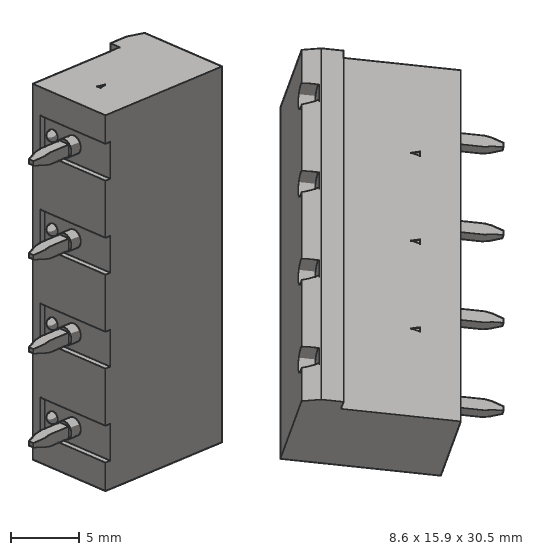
import cadquery as cq

pole_count = 4
pitch = 7.62
height = pole_count * pitch
body_width = 7.62
body_depth = 12.0

flange_reach = 0.98
flange_length = 3.05
bevel_width = 0.5
bevel_length = 1.37

notch_radius = 0.98
notch_depth = 1.25
notch_offset = 0.8

recess_height = 3.0
recess_depth = 0.5
recess_left = -3.02

dome_radius = 0.5
dome_x = -2.15

collar_diameter = 1.45
collar_reach = 0.5
shank_size = 0.98
pin_reach = 3.9
top_taper_start = 2.45
side_taper_start = 3.0
tip_width = 0.5
tip_height = 0.37

mark_start = 3.05
mark_length = 0.7
mark_width = 0.4
mark_depth = 0.12

body_left = -body_width / 2
flange_left = body_left - flange_reach
top = height / 2
pole_levels = [(i - (pole_count - 1) / 2) * pitch for i in range(pole_count)]
joint_levels = [z + pitch / 2 for z in pole_levels[:-1]]


def make_body():
    """Block with the bevelled flange, extruded over the whole stack."""
    ledge_y = body_depth - flange_length
    outline = [
        (body_left, 0),
        (-body_left, 0),
        (-body_left, body_depth),
        (flange_left + bevel_width, body_depth),
        (flange_left, body_depth - bevel_length),
        (flange_left, ledge_y),
        (body_left, ledge_y),
    ]
    return cq.Workplane("XY").polyline(outline).close().extrude(top, both=True)


def make_notch(z):
    """Blind round cutter sunk from the rear face."""
    rear = cq.Workplane("XZ", origin=(flange_left + notch_offset, body_depth, z))
    return rear.circle(notch_radius).extrude(notch_depth)


def make_recess(z):
    """Cutter for the front recess, from its left wall out to the +X face."""
    width = -body_left - recess_left
    corner = (recess_left, 0, z - recess_height / 2)
    return cq.Workplane("XY", origin=corner).box(width, recess_depth, recess_height, centered=False)


def make_dome(z):
    """Ball centred on the recess floor, so that half of it stands out."""
    return cq.Workplane("XY", origin=(dome_x, recess_depth, z)).sphere(dome_radius)


def taper_prism(plane, taper_start, tip_size):
    """Prism of the pin outline in one plane, from the recess floor to the tip."""
    half_shank = shank_size / 2
    half_tip = tip_size / 2
    points = [
        (-half_shank, recess_depth),
        (-half_shank, -taper_start),
        (-half_tip, -pin_reach),
        (half_tip, -pin_reach),
        (half_shank, -taper_start),
        (half_shank, recess_depth),
    ]
    return cq.Workplane(plane).polyline(points).close().extrude(shank_size, both=True)


def make_pin(z):
    """Collar on the recess floor with the square pin; the two tapers start at different places."""
    upright = cq.Plane((0, 0, 0), xDir=(0, 0, 1), normal=(-1, 0, 0))
    tapered_in_x = taper_prism("XY", side_taper_start, tip_width)
    tapered_in_z = taper_prism(upright, top_taper_start, tip_height)
    collar = (
        cq.Workplane("XZ", origin=(0, recess_depth, 0))
        .circle(collar_diameter / 2)
        .extrude(recess_depth + collar_reach)
    )
    return tapered_in_x.intersect(tapered_in_z).union(collar).translate((0, 0, z))


def make_mark(plane):
    """Shallow triangular cutter centred on the face of the given plane."""
    points = [
        (-mark_width / 2, mark_start),
        (mark_width / 2, mark_start),
        (0, mark_start + mark_length),
    ]
    return cq.Workplane(plane).polyline(points).close().extrude(-mark_depth)


result = make_body()
for level in pole_levels:
    result = result.cut(make_notch(level)).cut(make_recess(level))
    result = result.union(make_dome(level)).union(make_pin(level))

result = result.cut(make_mark(cq.Plane((0, 0, top), xDir=(1, 0, 0), normal=(0, 0, 1))))
for level in joint_levels:
    side = cq.Plane((body_left, 0, level), xDir=(0, 0, 1), normal=(-1, 0, 0))
    result = result.cut(make_mark(side))